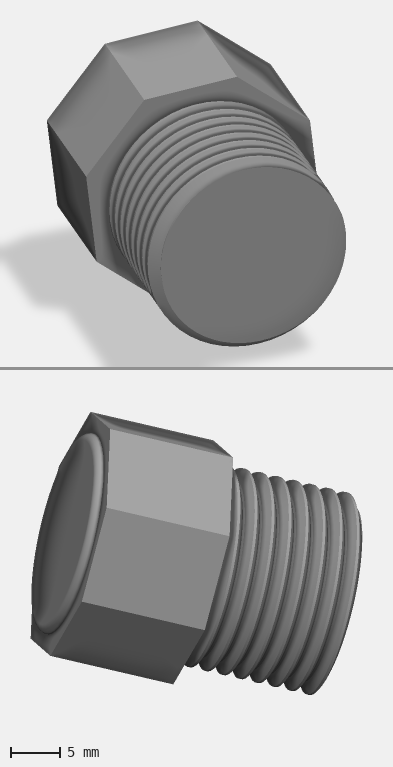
import cadquery as cq
import math


total_length = 29.0
cap_thickness = 0.85
head_length = 13.2
head_end = cap_thickness + head_length
shank_length = total_length - head_end

head_corner_radius = 13.0
head_sides = 8
head_turn = 29.0

thread_diameter = 20.95
core_diameter = 18.6
pitch = 1.83
crest_width = 0.3
ridge_base_width = 1.6
first_crest = 0.4
root_overlap = 0.12
lead_in_turns = 2
run_out_turns = 1

cap_diameter = 20.95
cap_edge_radius = 0.8


def make_cap():
    """Flat disc with its outer edge rounded."""
    disc = cq.Workplane("YZ").circle(cap_diameter / 2).extrude(cap_thickness)
    return disc.faces("<X").edges().fillet(cap_edge_radius)


def make_head():
    """Octagonal prism turned about the X axis."""
    angles = [math.radians(head_turn + 360 * i / head_sides) for i in range(head_sides)]
    corners = [(head_corner_radius * math.cos(a), head_corner_radius * math.sin(a)) for a in angles]
    return cq.Workplane("YZ").workplane(offset=cap_thickness).polyline(corners).close().extrude(head_length)


def make_thread_ridge():
    """Right-handed ridge, running past both ends of the shank and trimmed to its length."""
    core_radius = core_diameter / 2
    crest_radius = thread_diameter / 2
    foot_radius = core_radius - root_overlap
    flank_slope = (ridge_base_width - crest_width) / 2 / (crest_radius - core_radius)
    crest_half = crest_width / 2
    foot_half = crest_half + flank_slope * (crest_radius - foot_radius)

    start = head_end + first_crest - lead_in_turns * pitch
    turns = math.ceil(shank_length / pitch) + lead_in_turns + run_out_turns
    axis_start = cq.Vector(start, 0, 0)
    helix = cq.Wire.makeHelix(pitch, turns * pitch, core_radius)
    helix = helix.rotate(cq.Vector(), cq.Vector(1, 1, 1), 120).translate(axis_start)
    profile = (
        cq.Workplane("XY", origin=axis_start.toTuple())
        .moveTo(-foot_half, foot_radius)
        .lineTo(-crest_half, crest_radius)
        .lineTo(crest_half, crest_radius)
        .lineTo(foot_half, foot_radius)
        .close()
    )
    ridge = profile.sweep(cq.Workplane(helix), isFrenet=True)
    shank_space = cq.Workplane("YZ").workplane(offset=head_end).circle(thread_diameter).extrude(shank_length)
    return ridge.intersect(shank_space)


def make_plug():
    """Head, shank core and thread ridge as one solid."""
    core = cq.Workplane("YZ").workplane(offset=cap_thickness).circle(core_diameter / 2)
    core = core.extrude(head_length + shank_length)
    return core.union(make_thread_ridge()).union(make_head())


cap = make_cap()
plug = make_plug()
result = cq.Compound.makeCompound([cap.val(), *plug.solids().vals()])